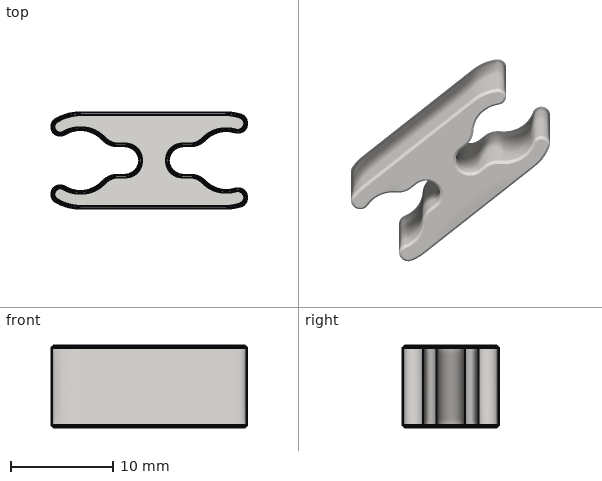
import cadquery as cq
import math

width = 9.4
height = 8.0
edge_chamfer = 0.25

slot_radius = 1.4
web_thickness = 2.87
slot_straight = 0.7
throat_radius = 2.0

large_bore_radius = 3.0
large_tip_reach = 10.03
small_bore_radius = 2.9
small_tip_reach = 9.10

half_width = width / 2
slot_center = web_thickness / 2 + slot_radius
throat_start = slot_center + slot_straight
throat_height = slot_radius + throat_radius


def polar(center, radius, angle):
    """Point on a circle; the angle is in radians from the jaw's outward axis."""
    return (
        center[0] + radius * math.cos(angle),
        center[1] + radius * math.sin(angle),
    )


def finger_arcs(bore_radius, tip_reach):
    """Upper finger of a jaw opening outward, from the outer flat in to the slot.

    Returns the start point on the flat and a list of (mid, end) arcs up to the
    throat, all as (distance from the web center, Y).
    """
    tip_radius = (half_width - bore_radius) / 2
    tip_path_radius = bore_radius + tip_radius
    throat_offset = math.sqrt((bore_radius + throat_radius) ** 2 - throat_height**2)
    bore_center = (throat_start + throat_offset, 0)
    throat_center = (throat_start, throat_height)

    quarter_turn = math.pi / 2
    tip_angle = math.acos((tip_reach - tip_radius - bore_center[0]) / tip_path_radius)
    throat_angle = math.atan2(throat_height, -throat_offset)
    tip_center = polar(bore_center, tip_path_radius, tip_angle)

    start = polar(bore_center, half_width, quarter_turn)
    outer_arc = (
        polar(bore_center, half_width, (quarter_turn + tip_angle) / 2),
        polar(bore_center, half_width, tip_angle),
    )
    tip_arc = (
        polar(tip_center, tip_radius, tip_angle - quarter_turn),
        polar(bore_center, bore_radius, tip_angle),
    )
    bore_arc = (
        polar(bore_center, bore_radius, (tip_angle + throat_angle) / 2),
        polar(bore_center, bore_radius, throat_angle),
    )
    throat_arc = (
        polar(throat_center, throat_radius, (throat_angle - math.pi - quarter_turn) / 2),
        (throat_start, slot_radius),
    )
    return start, [outer_arc, tip_arc, bore_arc, throat_arc]


def place(point, x_side, y_side):
    """Mirror a point into the quadrant given by the signs x_side and y_side."""
    return (x_side * point[0], y_side * point[1])


def add_jaw(outline, bore_radius, tip_reach, x_side, y_side):
    """Trace a whole jaw, entering along the flat on y_side and leaving on the other."""
    start, arcs = finger_arcs(bore_radius, tip_reach)
    outline = outline.lineTo(*place(start, x_side, y_side))
    for mid, end in arcs:
        outline = outline.threePointArc(place(mid, x_side, y_side), place(end, x_side, y_side))

    outline = outline.lineTo(x_side * slot_center, y_side * slot_radius)
    outline = outline.threePointArc(
        (x_side * web_thickness / 2, 0),
        (x_side * slot_center, -y_side * slot_radius),
    )
    outline = outline.lineTo(x_side * throat_start, -y_side * slot_radius)

    arc_starts = [start] + [end for mid, end in arcs[:-1]]
    for (mid, end), arc_start in zip(reversed(arcs), reversed(arc_starts)):
        outline = outline.threePointArc(place(mid, x_side, -y_side), place(arc_start, x_side, -y_side))
    return outline


def clip_body():
    outline = cq.Workplane("XY").moveTo(0, half_width)
    outline = add_jaw(outline, small_bore_radius, small_tip_reach, 1, 1)
    outline = add_jaw(outline, large_bore_radius, large_tip_reach, -1, -1)
    return outline.close().extrude(height)


result = clip_body().faces("|Z").edges().chamfer(edge_chamfer)